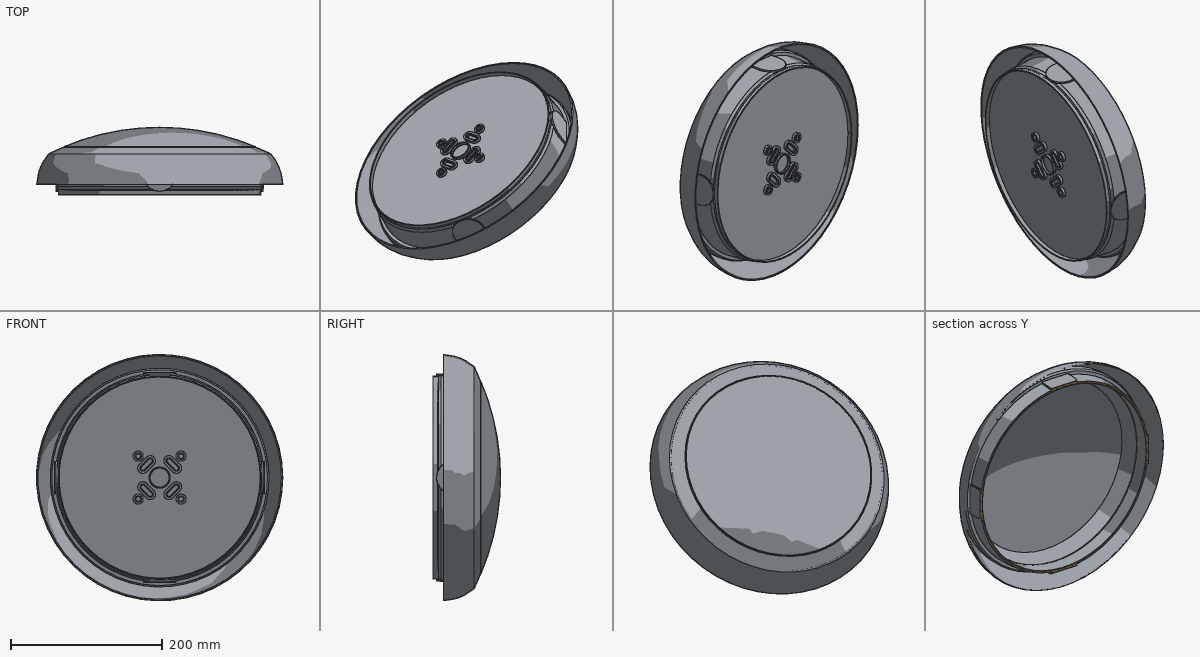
import cadquery as cq
import math

TOTAL_DEPTH = 89.5
SHADE_RIM_Y = 14.0
FLANGE_Y = 41.7

PAN_RADIUS = 134.0
PAN_WALL = 1.3
PAN_FLOOR_Y = 6.0
PAN_PLATE = 2.5

BOSS_HEIGHT = 4.0
RING_OUTER_DIAMETER = 28.0
RING_INNER_DIAMETER = 25.0
SCREW_OFFSET = 28.3
SCREW_BOSS_DIAMETER = 13.5
SCREW_SEAT_DIAMETER = 8.5
SCREW_HOLE_DIAMETER = 6.5
SEAT_DEPTH = 1.0
SLOT_OFFSET = 17.3
SLOT_CENTRE_DISTANCE = 14.0
SLOT_BOSS_WIDTH = 13.7
SLOT_SEAT_WIDTH = 7.8
SLOT_HOLE_WIDTH = 5.5

DOME_EDGE_RADIUS = 126.5
DOME_EDGE_Y = 63.8
DIFFUSER_WALL = 3.3
FLANGE_RADIUS = 144.5
FLANGE_CHAMFER_WIDTH = 2.0
FLANGE_CHAMFER_DEPTH = 3.0
SKIRT_TOP_RADIUS = 138.0
SKIRT_BEVEL_RADIUS = 136.0
SKIRT_BEVEL_Y = 11.0
SKIRT_END_Y = 7.2

TAB_COUNT = 4
TAB_RADIUS = 21.5
TAB_BOTTOM_Y = 5.0
TAB_BOTTOM_DISTANCE = 136.8
TAB_TOP_DISTANCE = 138.7
TAB_ROOT_RADIUS = 134.5
TAB_TOP_Y = FLANGE_Y + 1.5

SHADE_RADIUS = 162.8
SHADE_WALL = 2.0
SHADE_MID_RADIUS = 159.0
SHADE_MID_Y = 34.0
SHADE_SHOULDER_RADIUS = 147.2
SHADE_SHOULDER_Y = 54.0
SHADE_CORNER_RADIUS = 144.5
SHADE_CORNER_Y = 55.7
OPENING_GAP = 1.3
OPENING_STEP = 1.0
SHADE_OPENING_RADIUS = DOME_EDGE_RADIUS + OPENING_GAP
SHADE_OPENING_Y = DOME_EDGE_Y - OPENING_STEP


def slope_y(radius):
    """Height of the shade's straight top slope at a radius."""
    slope = (SHADE_OPENING_Y - SHADE_CORNER_Y) / (SHADE_CORNER_RADIUS - SHADE_OPENING_RADIUS)
    return SHADE_CORNER_Y + slope * (SHADE_CORNER_RADIUS - radius)


def revolve_about_y(profile):
    return profile.close().revolve(360, (0, 0), (0, 1))


def disc(radius, start_y, end_y):
    return cq.Workplane("XZ", origin=(0, start_y, 0)).circle(radius).extrude(start_y - end_y)


def quadrant_points(offset):
    return [(sx * offset, sz * offset) for sx in (1, -1) for sz in (1, -1)]


def screw_cylinders(diameter, start_y, end_y):
    plane = cq.Workplane("XZ", origin=(0, start_y, 0))
    return plane.pushPoints(quadrant_points(SCREW_OFFSET)).circle(diameter / 2).extrude(start_y - end_y)


def slot_prisms(width, start_y, end_y):
    """Four slots, each lying across its diagonal."""
    prisms = cq.Workplane("XZ")
    for x, z in quadrant_points(SLOT_OFFSET):
        angle = -math.copysign(45, x * z)
        plane = cq.Workplane("XZ", origin=(0, start_y, 0)).center(x, z)
        slot = plane.slot2D(SLOT_CENTRE_DISTANCE + width, width, angle).extrude(start_y - end_y)
        prisms = prisms.add(slot)
    return prisms.combine()


def make_pan():
    plate_back_y = PAN_FLOOR_Y + PAN_PLATE
    boss_y = PAN_FLOOR_Y - BOSS_HEIGHT
    inner_radius = PAN_RADIUS - PAN_WALL
    pan = disc(PAN_RADIUS, 0, FLANGE_Y)
    pan = pan.cut(disc(inner_radius, 0, PAN_FLOOR_Y))
    pan = pan.cut(disc(inner_radius, plate_back_y, FLANGE_Y))

    ring = disc(RING_OUTER_DIAMETER / 2, boss_y, PAN_FLOOR_Y)
    ring = ring.cut(disc(RING_INNER_DIAMETER / 2, boss_y, PAN_FLOOR_Y))
    pan = pan.union(ring)
    pan = pan.union(screw_cylinders(SCREW_BOSS_DIAMETER, boss_y, PAN_FLOOR_Y))
    pan = pan.union(slot_prisms(SLOT_BOSS_WIDTH, boss_y, PAN_FLOOR_Y))

    pan = pan.cut(screw_cylinders(SCREW_SEAT_DIAMETER, boss_y, boss_y + SEAT_DEPTH))
    pan = pan.cut(screw_cylinders(SCREW_HOLE_DIAMETER, boss_y, PAN_FLOOR_Y))
    pan = pan.cut(slot_prisms(SLOT_SEAT_WIDTH, boss_y, boss_y + SEAT_DEPTH))
    return pan.cut(slot_prisms(SLOT_HOLE_WIDTH, boss_y, PAN_FLOOR_Y))


def make_tabs():
    """Flat grip tabs with a rounded lower end, slightly drafted, spaced around the skirt."""
    centre_y = TAB_BOTTOM_Y + TAB_RADIUS
    outline = (
        cq.Workplane("XY")
        .moveTo(-TAB_RADIUS, TAB_TOP_Y)
        .lineTo(-TAB_RADIUS, centre_y)
        .threePointArc((0, TAB_BOTTOM_Y), (TAB_RADIUS, centre_y))
        .lineTo(TAB_RADIUS, TAB_TOP_Y)
        .close()
        .extrude(TAB_TOP_DISTANCE)
    )
    drafted_section = (
        cq.Workplane("YZ", origin=(-TAB_RADIUS, 0, 0))
        .moveTo(TAB_BOTTOM_Y, 0)
        .lineTo(TAB_BOTTOM_Y, TAB_BOTTOM_DISTANCE)
        .lineTo(TAB_TOP_Y, TAB_TOP_DISTANCE)
        .lineTo(TAB_TOP_Y, 0)
        .close()
        .extrude(2 * TAB_RADIUS)
    )
    tab = outline.intersect(drafted_section).cut(disc(TAB_ROOT_RADIUS, 0, TAB_TOP_Y))
    return [tab.rotate((0, 0, 0), (0, 1, 0), i * 360 / TAB_COUNT) for i in range(TAB_COUNT)]


def make_diffuser():
    rise = TOTAL_DEPTH - DOME_EDGE_Y
    sphere_radius = (DOME_EDGE_RADIUS**2 + rise**2) / (2 * rise)
    inner_sphere_radius = sphere_radius - DIFFUSER_WALL
    sphere_centre_y = TOTAL_DEPTH - sphere_radius

    def sphere_point(radius, at):
        return at, sphere_centre_y + math.sqrt(radius**2 - at**2)

    cavity_radius = PAN_RADIUS - PAN_WALL
    cavity_edge = sphere_point(inner_sphere_radius, DOME_EDGE_RADIUS - DIFFUSER_WALL)
    profile = (
        cq.Workplane("XY")
        .moveTo(0, TOTAL_DEPTH)
        .threePointArc(sphere_point(sphere_radius, DOME_EDGE_RADIUS / 2), (DOME_EDGE_RADIUS, DOME_EDGE_Y))
        .lineTo(DOME_EDGE_RADIUS, slope_y(DOME_EDGE_RADIUS) - SHADE_WALL)
        .lineTo(FLANGE_RADIUS, slope_y(FLANGE_RADIUS) - SHADE_WALL)
        .lineTo(FLANGE_RADIUS, FLANGE_Y + FLANGE_CHAMFER_DEPTH)
        .lineTo(FLANGE_RADIUS - FLANGE_CHAMFER_WIDTH, FLANGE_Y)
        .lineTo(SKIRT_TOP_RADIUS, FLANGE_Y)
        .lineTo(SKIRT_BEVEL_RADIUS, SKIRT_BEVEL_Y)
        .lineTo(PAN_RADIUS, SKIRT_END_Y)
        .lineTo(PAN_RADIUS, FLANGE_Y)
        .lineTo(cavity_radius, FLANGE_Y)
        .lineTo(*cavity_edge)
        .threePointArc(
            sphere_point(inner_sphere_radius, DOME_EDGE_RADIUS / 2),
            (0, TOTAL_DEPTH - DIFFUSER_WALL),
        )
    )
    diffuser = revolve_about_y(profile)
    for tab in make_tabs():
        diffuser = diffuser.union(tab)
    return diffuser


def make_shade():
    inner_corner_y = slope_y(FLANGE_RADIUS) - SHADE_WALL
    profile = (
        cq.Workplane("XY")
        .moveTo(SHADE_RADIUS, SHADE_RIM_Y)
        .threePointArc((SHADE_MID_RADIUS, SHADE_MID_Y), (SHADE_SHOULDER_RADIUS, SHADE_SHOULDER_Y))
        .lineTo(SHADE_CORNER_RADIUS, SHADE_CORNER_Y)
        .lineTo(SHADE_OPENING_RADIUS, SHADE_OPENING_Y)
        .lineTo(SHADE_OPENING_RADIUS, SHADE_OPENING_Y - SHADE_WALL)
        .lineTo(FLANGE_RADIUS, inner_corner_y)
        .threePointArc(
            (SHADE_MID_RADIUS - SHADE_WALL, SHADE_MID_Y),
            (SHADE_RADIUS - SHADE_WALL, SHADE_RIM_Y),
        )
    )
    return revolve_about_y(profile)


pan = make_pan()
diffuser = make_diffuser()
shade = make_shade()

result = cq.Compound.makeCompound([body.solids().val() for body in (pan, diffuser, shade)])